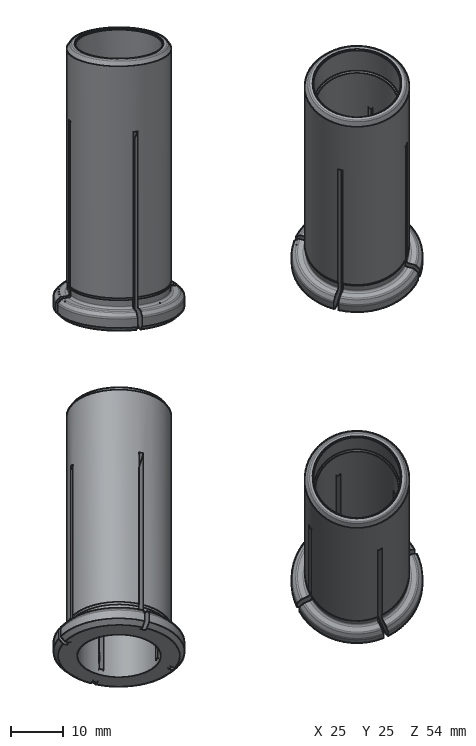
import cadquery as cq

length = 54.0
body_radius = 20.0 / 2
bore_radius = 15.9 / 2

mouth_radius = 16.5 / 2
mouth_depth = 6.15
seat_height = 0.3
mouth_edge = 0.2
nose_inset = 0.7
nose_height = 1.0
nose_rounding = 0.4

flange_radius = 25.0 / 2
flange_height = 3.9
flange_top_chamfer = 0.9
flange_bottom_chamfer = 0.9
flange_edge_rounding = 0.5
neck_radius = 9.85
neck_corner = 0.5
groove_top = 6.05
groove_taper_height = 0.5

slot_count = 4
slot_width = 0.9
slot_top = 39.6
slot_top_slope = 1.05
slot_floor_radius = 10.8
slot_floor_height = 1.3


def round_rim(solid, radius, height, rounding):
    """Fillet the circular edge of the given radius at the given height."""
    tolerance = 0.005

    def is_rim(edge):
        same_radius = abs(edge.radius() - radius) < tolerance
        return same_radius and abs(edge.Center().z - height) < tolerance

    return solid.edges("%CIRCLE").filter(is_rim).fillet(rounding)


def make_sleeve():
    """Revolve the wall section around Z."""
    nose_radius = body_radius - nose_inset
    chamfer_inner_radius = flange_radius - flange_top_chamfer
    section = (
        cq.Workplane("XZ")
        .moveTo(bore_radius, 0)
        .lineTo(flange_radius - flange_bottom_chamfer, 0)
        .lineTo(flange_radius, flange_bottom_chamfer)
        .lineTo(flange_radius, flange_height - flange_top_chamfer)
        .lineTo(chamfer_inner_radius, flange_height)
        .lineTo(neck_radius + neck_corner, flange_height)
        .radiusArc((neck_radius, flange_height + neck_corner), neck_corner)
        .lineTo(neck_radius, groove_top - groove_taper_height)
        .lineTo(body_radius, groove_top)
        .lineTo(body_radius, length - nose_height)
        .lineTo(nose_radius, length)
        .lineTo(mouth_radius + mouth_edge, length)
        .lineTo(mouth_radius, length - mouth_edge)
        .lineTo(mouth_radius, length - mouth_depth)
        .lineTo(bore_radius, length - mouth_depth - seat_height)
        .close()
    )
    sleeve = section.revolve(360, (0, 0, 0), (0, 1, 0))
    sleeve = round_rim(sleeve, nose_radius, length, nose_rounding)
    sleeve = round_rim(sleeve, chamfer_inner_radius, flange_height, flange_edge_rounding)
    return round_rim(sleeve, flange_radius, flange_height - flange_top_chamfer, flange_edge_rounding)


def make_slot_cutter():
    """Slot on the +X side: full wall depth, sloping at both ends."""
    reach = flange_radius + 0.55
    inner = bore_radius - 0.55
    profile = (
        cq.Workplane("XZ")
        .moveTo(slot_floor_radius, 0)
        .lineTo(reach, 0)
        .lineTo(reach, slot_top + slot_top_slope * (reach - body_radius))
        .lineTo(inner, slot_top - slot_top_slope * (body_radius - inner))
        .lineTo(inner, slot_floor_height)
        .lineTo(bore_radius, slot_floor_height)
        .close()
    )
    return profile.extrude(slot_width / 2, both=True)


result = make_sleeve()
slot_cutter = make_slot_cutter()
for index in range(slot_count):
    angle = index * 360 / slot_count
    result = result.cut(slot_cutter.rotate((0, 0, 0), (0, 0, 1), angle))